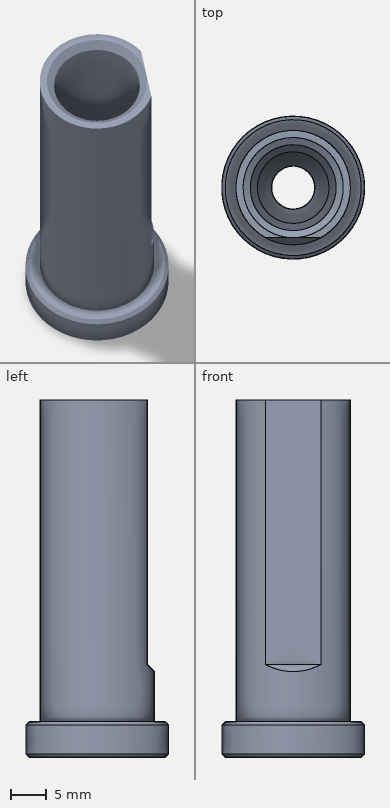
import cadquery as cq
import math

total_height = 50.0
flange_radius = 10.0
flange_height = 5.0
flange_chamfer = 0.5
shank_radius = 8.0

mouth_radius = 7.0
bore_radius = 6.0
lower_bore_radius = 5.0
through_radius = 3.0
bore_floor_z = 20.0
lower_bore_floor_z = 10.0

flat_offset = 7.0
flat_bottom_z = 13.0

mouth_depth = mouth_radius - bore_radius
bore_step_depth = bore_radius - lower_bore_radius

through_cone_half_angle = 30.0
through_step_depth = (lower_bore_radius - through_radius) / math.tan(math.radians(through_cone_half_angle))


def make_body():
    """Solid flange and shank, with both flange rims chamfered."""
    flange = cq.Workplane("XY").circle(flange_radius).extrude(flange_height)
    flange = flange.faces("<Z or >Z").edges().chamfer(flange_chamfer)
    shank = cq.Workplane("XY").circle(shank_radius).extrude(total_height)
    return flange.union(shank)


def make_bore():
    """Revolved volume removed by the stepped, coned bore."""
    return (
        cq.Workplane("XZ")
        .moveTo(0, 0)
        .lineTo(through_radius, 0)
        .lineTo(through_radius, lower_bore_floor_z - through_step_depth)
        .lineTo(lower_bore_radius, lower_bore_floor_z)
        .lineTo(lower_bore_radius, bore_floor_z - bore_step_depth)
        .lineTo(bore_radius, bore_floor_z)
        .lineTo(bore_radius, total_height - mouth_depth)
        .lineTo(mouth_radius, total_height)
        .lineTo(0, total_height)
        .close()
        .revolve(360, (0, 0, 0), (0, 1, 0))
    )


def make_flat_cutter():
    """Block that cuts the flat, with its lower end sloping down and outward."""
    outer_offset = flange_radius
    runout_drop = outer_offset - flat_offset
    return (
        cq.Workplane("YZ")
        .moveTo(-flat_offset, total_height)
        .lineTo(-flat_offset, flat_bottom_z)
        .lineTo(-outer_offset, flat_bottom_z - runout_drop)
        .lineTo(-outer_offset, total_height)
        .close()
        .extrude(shank_radius, both=True)
    )


result = make_body().cut(make_bore()).cut(make_flat_cutter())